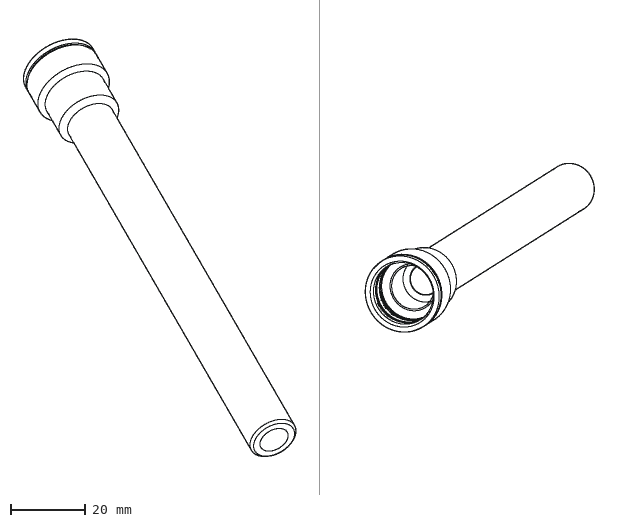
import cadquery as cq
import math

length = 150.0
collar_radius = 21.0 / 2
neck_radius = 17.5 / 2
tube_radius = 13.5 / 2
groove_radius = 20.0 / 2
groove_start = 1.6
groove_end = 2.4
collar_end = 10.0
neck_end = 20.7
shoulder_angle = math.radians(60)
tip_chamfer = 0.8

mouth_flare = 0.6
mouth_depth = 1.0
socket_radius = 17.0 / 2
mouth_radius = socket_radius + mouth_flare
neck_bore_end = 19.5
seat_radius = 12.0 / 2
bore_radius = 8.2 / 2
seat_ledge = 0.5
bore_ledge = 0.2
socket_depth = 8.2
seat_angle = math.radians(60)
bore_angle = math.radians(68)

ring_radius = 17.5 / 2
ring_width = 1.2
ring_pitch = 3.3
first_ring = 2.8
ring_count = 2


def cone_length(large_radius, small_radius, angle):
    """Axial length of a cone whose side leans by angle from the axis."""
    return (large_radius - small_radius) / math.tan(angle)


def revolve_profile(points):
    """Turn an (axial, radial) outline around the X axis."""
    return cq.Workplane("XY").polyline(points).close().revolve(360, (0, 0, 0), (1, 0, 0))


def ring(start, end, inner_radius, outer_radius):
    """Plain ring around the X axis between two axial positions."""
    return (
        cq.Workplane("YZ")
        .workplane(offset=start)
        .circle(outer_radius)
        .circle(inner_radius)
        .extrude(end - start)
    )


body = revolve_profile([
    (0, 0),
    (0, collar_radius),
    (collar_end, collar_radius),
    (collar_end + cone_length(collar_radius, neck_radius, shoulder_angle), neck_radius),
    (neck_end, neck_radius),
    (neck_end + cone_length(neck_radius, tube_radius, shoulder_angle), tube_radius),
    (length - tip_chamfer, tube_radius),
    (length, tube_radius - tip_chamfer),
    (length, 0),
])

body = body.cut(ring(groove_start, groove_end, groove_radius, collar_radius))

seat_start = socket_depth + cone_length(socket_radius, seat_radius + seat_ledge, seat_angle)
bore_start = neck_bore_end + cone_length(seat_radius, bore_radius + bore_ledge, bore_angle)
body = body.cut(revolve_profile([
    (0, 0),
    (0, mouth_radius),
    (mouth_depth, socket_radius),
    (socket_depth, socket_radius),
    (seat_start, seat_radius + seat_ledge),
    (seat_start, seat_radius),
    (neck_bore_end, seat_radius),
    (bore_start, bore_radius + bore_ledge),
    (bore_start, bore_radius),
    (length, bore_radius),
    (length, 0),
]))

for index in range(ring_count):
    ring_start = first_ring + index * ring_pitch
    body = body.cut(ring(ring_start, ring_start + ring_width, bore_radius, ring_radius))

result = body